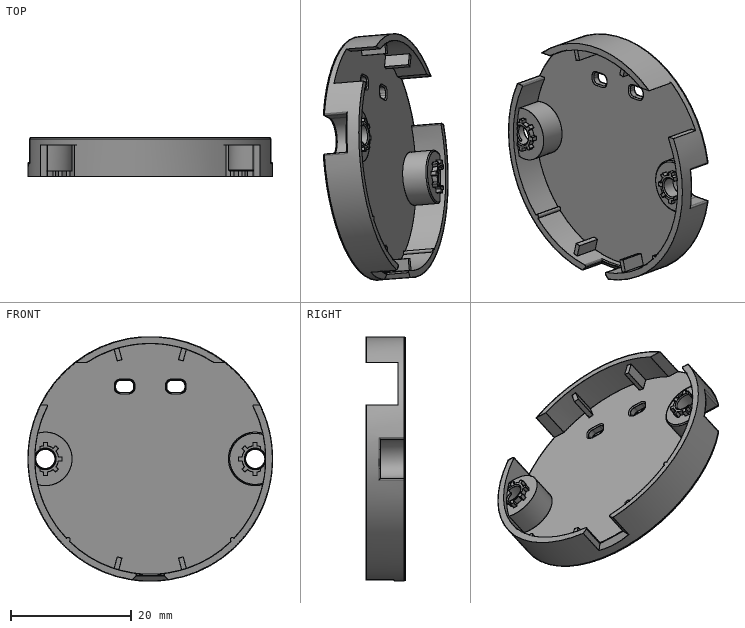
import cadquery as cq
import math


outer_radius = 20.35
wall = 1.15
inner_radius = outer_radius - wall
height = 6.5
floor = 1.25
back_chamfer_depth = 0.25
back_chamfer_width = 0.12

window_bottom = 9.0
window_top = 16.0
stub_fillet = 0.2

post_x = 17.45
post_radius = 4.45
post_depth = 5.6
post_chamfer = 0.2
screw_hole_radius = 1.6
hole_lead_in = 0.2

ring_radius = 2.2
tooth_count = 8
tooth_tip_radius = 2.75
tooth_width = 0.65
ring_flat_offset = 0.85

recess_radius = 3.25
recess_depth = 4.15
recess_fillet = 0.25

slot_x = 4.25
slot_z = 12.05
slot_length = 3.0
slot_width = 2.0
slot_chamfer = 0.22
slot_corner_radius = 0.8
slot_chamfer_angle = 45

rib_tip_x = 5.1
rib_tip_z = 16.4
rib_tilt = 15.0
rib_width = 0.8
rib_length = 2.6
rib_depth = 5.5

nub_radius = 0.35
nub_distance = 19.15
nub_angle = 44.5

notch_half_width = 2.35
notch_depth = 2.6
notch_root_z = 19.45
notch_fillet = 0.2

margin = 0.1


def plane_at(depth):
    """Sketch plane facing -Y at the given depth; sketch axes are X and Z."""
    return cq.Workplane("XZ", origin=(0, -depth, 0))


def disc(radius, start, end, x=0.0, z=0.0):
    return plane_at(start).center(x, z).circle(radius).extrude(end - start)


def make_shell():
    shell = disc(outer_radius, 0, height)
    for side in (-1, 1):
        shell = shell.cut(make_recess(side))
    shell = shell.edges(recess_mouths()).fillet(recess_fillet)
    shell = shell.faces(">Y").edges().chamfer(back_chamfer_width, back_chamfer_depth)
    return shell.cut(disc(inner_radius, floor, height))


def recess_mouths():
    """Selects the edges where the recesses break through the outer wall."""

    def box(side):
        near = (side * inner_radius, -recess_depth - margin, -recess_radius - margin)
        far = (side * (outer_radius + margin), -floor, recess_radius + margin)
        return cq.selectors.BoxSelector(near, far)

    return box(-1) + box(1)


def make_window():
    return (
        plane_at(floor)
        .center(0, (window_bottom + window_top) / 2)
        .rect(2 * outer_radius + wall, window_top - window_bottom)
        .extrude(height - floor)
    )


def stub_corners():
    """Selects the inner corner edges of the wall ends below the window."""
    corner_x = math.sqrt(inner_radius**2 - window_bottom**2)

    def box(side):
        near = (side * corner_x - margin, -height - margin, window_bottom - margin)
        far = (side * corner_x + margin, -floor + margin, window_bottom + margin)
        return cq.selectors.BoxSelector(near, far)

    return box(-1) + box(1)


def make_ribs():
    ribs = cq.Workplane()
    for x_sign in (-1, 1):
        for z_sign in (-1, 1):
            rib = (
                plane_at(floor)
                .center(x_sign * rib_tip_x, z_sign * rib_tip_z)
                .transformed(rotate=(0, 0, -x_sign * z_sign * rib_tilt))
                .center(0, z_sign * rib_length / 2)
                .rect(rib_width, rib_length)
                .extrude(rib_depth - floor)
            )
            ribs = ribs.add(rib)
    return ribs.combine()


def make_nubs():
    x = nub_distance * math.cos(math.radians(nub_angle))
    z = -nub_distance * math.sin(math.radians(nub_angle))
    return disc(nub_radius, floor, height, -x, z).union(disc(nub_radius, floor, height, x, z))


def make_post(side):
    """Screw post, chamfered on the +X side only; side is -1 for the -X post and 1 for the +X post."""
    post = disc(post_radius, floor, post_depth, side * post_x)
    if side > 0:
        post = post.faces("<Y").edges().chamfer(post_chamfer)
    return post.intersect(disc(inner_radius + wall / 2, 0, height))


def ring_side(side, start):
    """Block, from the start depth to the rim, covering what lies inward of the ring's flat."""
    width = 2 * tooth_tip_radius
    return (
        plane_at(start)
        .center(side * (post_x + ring_flat_offset - width / 2), 0)
        .rect(width, width)
        .extrude(height - start)
    )


def make_ring(side):
    ring = disc(ring_radius, post_depth, height, side * post_x)
    for index in range(tooth_count):
        tooth = (
            plane_at(post_depth)
            .center(side * post_x, 0)
            .transformed(rotate=(0, 0, index * 360 / tooth_count))
            .center(tooth_tip_radius / 2, 0)
            .rect(tooth_tip_radius, tooth_width)
            .extrude(height - post_depth)
        )
        ring = ring.union(tooth)
    return ring.intersect(ring_side(side, post_depth))


def make_lead_in(side, depth):
    """Conical mouth that widens the screw hole up to the surface at the given depth."""
    cone = (
        plane_at(depth - hole_lead_in)
        .center(side * post_x, 0)
        .circle(screw_hole_radius)
        .workplane(offset=hole_lead_in)
        .circle(screw_hole_radius + hole_lead_in)
        .loft()
    )
    return cone.intersect(disc(inner_radius, 0, height))


def make_screw_hole(side):
    """Through hole with a lead-in on the ring and on the post beyond the ring's flat."""
    hole = disc(screw_hole_radius, 0, height, side * post_x)
    post_lead_in = make_lead_in(side, post_depth).cut(ring_side(side, 0))
    return hole.union(make_lead_in(side, height)).union(post_lead_in)


def make_recess(side):
    """U-shaped pocket: round around the screw axis and open past the outer wall."""
    reach = outer_radius - post_x + wall
    opening = (
        plane_at(0)
        .center(side * (post_x + reach / 2), 0)
        .rect(reach, 2 * recess_radius)
        .extrude(recess_depth)
    )
    return disc(recess_radius, 0, recess_depth, side * post_x).union(opening)


def make_slot(x):
    """Rounded rectangular hole with a chamfered mouth on the inside of the floor."""

    def outline(growth):
        return (
            cq.Sketch()
            .rect(slot_length + 2 * growth, slot_width + 2 * growth)
            .vertices()
            .fillet(slot_corner_radius + growth)
        )

    through = plane_at(0).center(x, slot_z).placeSketch(outline(0)).extrude(floor)
    mouth = (
        plane_at(floor)
        .center(x, slot_z)
        .placeSketch(outline(slot_chamfer))
        .extrude(-slot_chamfer, taper=slot_chamfer_angle)
    )
    return through.union(mouth)


def make_notch():
    """Wall opening at -Z whose sides and floor flare outward at 45 degrees."""
    flare = outer_radius - notch_root_z

    def outline(z, growth):
        half_width = notch_half_width + growth
        return (
            cq.Workplane("XY", origin=(0, 0, z))
            .moveTo(-half_width, -2 * height)
            .lineTo(-half_width, -notch_depth + growth)
            .lineTo(half_width, -notch_depth + growth)
            .lineTo(half_width, -2 * height)
            .close()
        )

    root = outline(-notch_root_z, 0)
    mouth = outline(-outer_radius, flare)
    flared = cq.Workplane(cq.Solid.makeLoft([root.wire().val(), mouth.wire().val()], True))
    return root.extrude(2 * wall).union(flared)


def notch_inner_edges():
    """Selects the three edges where the notch meets the inside of the wall."""
    near = (-notch_half_width - margin, -height + margin, -inner_radius)
    far = (notch_half_width + margin, -floor, -inner_radius + 2 * margin)
    return cq.selectors.BoxSelector(near, far)


result = make_shell().union(make_ribs()).union(make_nubs())
for side in (-1, 1):
    result = result.union(make_post(side)).union(make_ring(side))
for side in (-1, 1):
    result = result.cut(make_screw_hole(side)).cut(make_recess(side))
result = result.cut(make_slot(-slot_x)).cut(make_slot(slot_x))
result = result.cut(make_window()).cut(make_notch())
result = result.edges(notch_inner_edges()).fillet(notch_fillet)
result = result.edges(stub_corners()).fillet(stub_fillet)